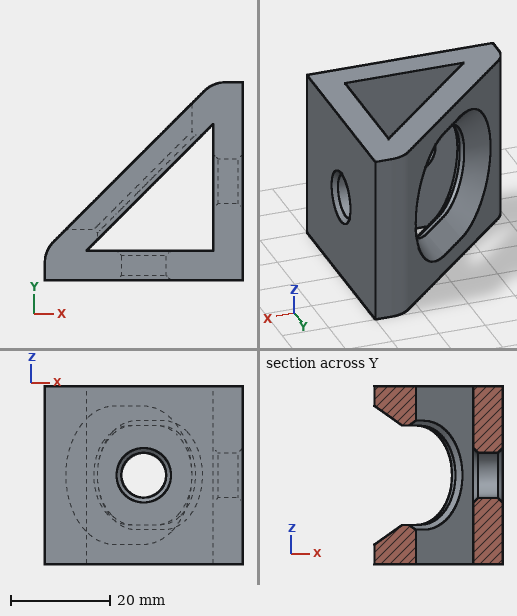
import cadquery as cq
import math

leg_length = 40.0
height = 36.0
leg_wall = 6.0
brace_wall = 6.0
toe_thickness = 6.0
toe_radius = 6.0

hole_diameter = 9.0
hole_chamfer = 1.0

window_straight = 8.0
window_radius = 10.0
flare_depth = 4.0
throat_chamfer = 1.0
bevel_angle = 45.0

mid_leg = leg_length / 2
mid_height = height / 2
inner_offset = toe_thickness - brace_wall * math.sqrt(2)
leg_inner_face = leg_length - leg_wall


def bracket_body():
    """Triangular frame with rounded toes where the brace meets the legs."""
    outline = [
        (0, 0),
        (leg_length, 0),
        (leg_length, leg_length),
        (leg_length - toe_thickness, leg_length),
        (0, toe_thickness),
    ]
    opening = [
        (leg_wall - inner_offset, leg_wall),
        (leg_inner_face, leg_wall),
        (leg_inner_face, leg_inner_face + inner_offset),
    ]
    toe_points = outline[-2:]
    body = cq.Workplane("XY").polyline(outline).close().extrude(height)
    for x, y in toe_points:
        toe_edge = cq.selectors.NearestToPointSelector((x, y, mid_height))
        body = body.edges(toe_edge).fillet(toe_radius)
    return body.cut(cq.Workplane("XY").polyline(opening).close().extrude(height))


def screw_hole():
    """Bore along +Z through one leg wall, chamfered at both mouths."""
    radius = hole_diameter / 2
    mouth = radius + hole_chamfer
    profile = [
        (0, 0),
        (mouth, 0),
        (radius, hole_chamfer),
        (radius, leg_wall - hole_chamfer),
        (mouth, leg_wall),
        (0, leg_wall),
    ]
    return cq.Workplane("XZ").polyline(profile).close().revolve(360, (0, 0, 0), (0, 1, 0))


def obround(workplane, radius):
    """Window outline with the given end radius around the common straight length."""
    return workplane.slot2D(window_straight + 2 * radius, 2 * radius)


def brace_window():
    """Obround opening, square to the brace, flared outside and chamfered inside."""
    bevel_slope = math.tan(math.radians(bevel_angle))
    outer_mouth_radius = window_radius + flare_depth * bevel_slope
    inner_mouth_radius = window_radius + throat_chamfer * bevel_slope
    brace_middle = (
        (leg_length - toe_thickness) / 2,
        (leg_length + toe_thickness) / 2,
        mid_height,
    )
    brace_plane = cq.Plane(origin=brace_middle, xDir=(1, 1, 0), normal=(1, -1, 0))
    inner_plane = cq.Workplane(brace_plane).workplane(offset=-brace_wall, invert=True)
    flare = obround(cq.Workplane(brace_plane), outer_mouth_radius).extrude(flare_depth, taper=bevel_angle)
    throat = obround(cq.Workplane(brace_plane), window_radius).extrude(brace_wall)
    inner_chamfer = obround(inner_plane, inner_mouth_radius).extrude(throat_chamfer, taper=bevel_angle)
    return flare.union(throat).union(inner_chamfer)


front_hole = screw_hole().rotate((0, 0, 0), (1, 0, 0), -90).translate((mid_leg, 0, mid_height))
side_hole = screw_hole().rotate((0, 0, 0), (0, 1, 0), 90).translate((leg_inner_face, mid_leg, mid_height))

result = bracket_body().cut(brace_window()).cut(front_hole).cut(side_hole)